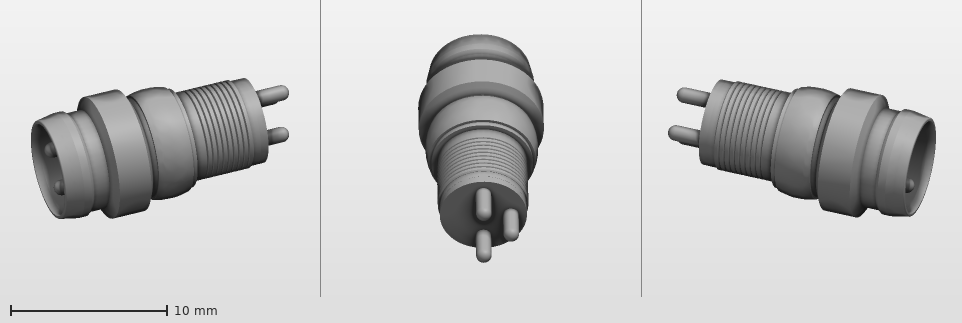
import cadquery as cq

total_length = 16.4
insert_end = 14.0
flange_start = 13.5
thread_end = 13.0
shoulder_end = 9.0
ball_end = 8.68
ball_start = 6.31
collar_end = 6.0
collar_start = 3.0
collar_bevel = 0.43
snap_end = 1.98
snap_bevel = 0.25
taper_length = 1.23

collar_radius = 8.0 / 2
snap_radius = 6.9 / 2
neck_radius = 6.5 / 2
ball_edge_radius = 3.43
ball_radius = 3.6
thread_radius = 5.8 / 2
insert_radius = 5.6 / 2
flange_radius = 5.58 / 2

groove_count = 9
first_groove_y = 9.84
last_groove_y = 12.65
groove_pitch = (last_groove_y - first_groove_y) / (groove_count - 1)
groove_width = 0.13
groove_root_radius = flange_radius
thread_chamfer = 0.08

lip_round = 0.11
socket_mouth_radius = 3.03
socket_radius = 5.8 / 2
socket_mouth_depth = 0.5
socket_depth = 6.0

pin_radius = 1.0 / 2
pin_offset = 1.75
pin_front_y = 0.43
pin_countersink_radius = 1.23 / 2
pin_countersink_depth = pin_countersink_radius - pin_radius


def make_body():
    """Revolved outer shape, from the socket mouth to the back of the insert."""
    profile = (
        cq.Workplane("XY")
        .moveTo(0, 0)
        .lineTo(neck_radius - lip_round, 0)
        .radiusArc((neck_radius, lip_round), -lip_round)
        .lineTo(snap_radius, taper_length)
        .lineTo(snap_radius, snap_end - snap_bevel)
        .lineTo(neck_radius, snap_end)
        .lineTo(neck_radius, collar_start)
        .lineTo(collar_radius, collar_start + collar_bevel)
        .lineTo(collar_radius, collar_end - collar_bevel)
        .lineTo(neck_radius, collar_end)
        .lineTo(neck_radius, ball_start)
        .lineTo(ball_edge_radius, ball_start)
        .threePointArc((ball_radius, (ball_start + ball_end) / 2), (ball_edge_radius, ball_end))
        .lineTo(neck_radius, ball_end)
        .lineTo(neck_radius, shoulder_end)
        .lineTo(thread_radius, shoulder_end)
        .lineTo(thread_radius, thread_end - thread_chamfer)
        .lineTo(thread_radius - thread_chamfer, thread_end)
        .lineTo(insert_radius, thread_end)
        .lineTo(insert_radius, flange_start)
        .lineTo(flange_radius, flange_start)
        .lineTo(flange_radius, insert_end)
        .lineTo(0, insert_end)
        .close()
    )
    return profile.revolve(360, (0, 0, 0), (0, 1, 0))


def make_groove(center_y):
    """Ring with a V section that cuts one thread groove."""
    return (
        cq.Workplane("XY")
        .moveTo(thread_radius, center_y - groove_width / 2)
        .lineTo(groove_root_radius, center_y)
        .lineTo(thread_radius, center_y + groove_width / 2)
        .close()
        .revolve(360, (0, 0, 0), (0, 1, 0))
    )


def make_socket():
    """Cavity with a flared mouth."""
    return (
        cq.Workplane("XY")
        .moveTo(0, 0)
        .lineTo(socket_mouth_radius, 0)
        .lineTo(socket_radius, socket_mouth_depth)
        .lineTo(socket_radius, socket_depth)
        .lineTo(0, socket_depth)
        .close()
        .revolve(360, (0, 0, 0), (0, 1, 0))
    )


def make_pin_countersink(x, z):
    """Shallow conical recess around a pin in the socket floor."""
    recess = (
        cq.Workplane("XY")
        .moveTo(0, socket_depth)
        .lineTo(pin_countersink_radius, socket_depth)
        .lineTo(pin_radius, socket_depth + pin_countersink_depth)
        .lineTo(0, socket_depth + pin_countersink_depth)
        .close()
        .revolve(360, (0, 0, 0), (0, 1, 0))
    )
    return recess.translate((x, 0, z))


def make_pin(x, z):
    """Straight pin with two round ends."""
    pin = (
        cq.Workplane("XY")
        .moveTo(0, pin_front_y)
        .radiusArc((pin_radius, pin_front_y + pin_radius), -pin_radius)
        .lineTo(pin_radius, total_length - pin_radius)
        .radiusArc((0, total_length), -pin_radius)
        .close()
        .revolve(360, (0, 0, 0), (0, 1, 0))
    )
    return pin.translate((x, 0, z))


body = make_body()
for index in range(groove_count):
    body = body.cut(make_groove(first_groove_y + index * groove_pitch))
body = body.cut(make_socket())
for pin_x, pin_z in [(-pin_offset, 0), (0, pin_offset), (0, -pin_offset)]:
    body = body.cut(make_pin_countersink(pin_x, pin_z))
    body = body.union(make_pin(pin_x, pin_z))

result = body